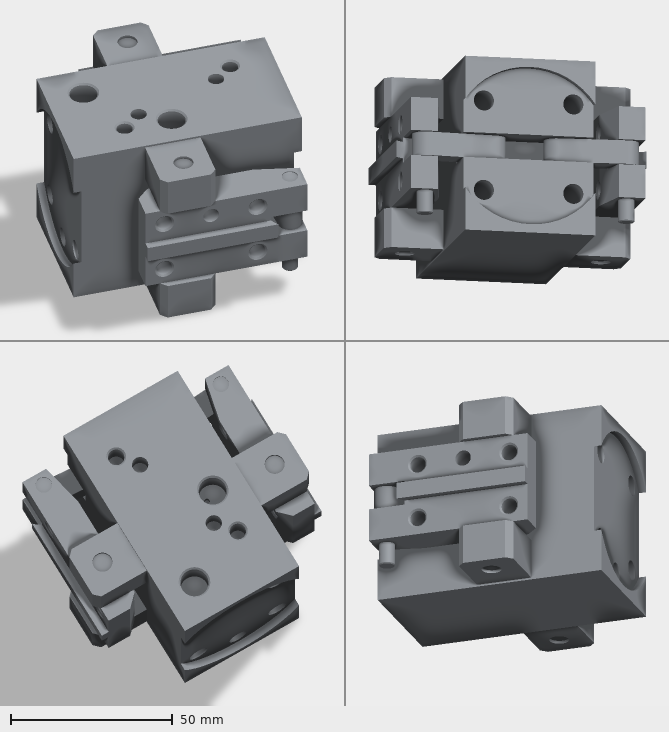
import cadquery as cq
import math


body_width = 41.1
body_length = 73.5
body_height = 55.0
cover_thickness = 5.5
top_z = body_height / 2
end_recess_radius = 24.9
end_recess_depth = 2.45

bolt_circle_radius = 20.0
bolt_hole_diameter = 6.3
locating_hole_diameter = 6.0
locating_hole_depth = 6.3

drill_point_angle = 118.0
thread_diameter = 5.05
thread_rim_diameter = 6.2
thread_depth = 7.9
thread_spots = [(-10.0, 59.25), (10.0, 19.4)]
dowel_diameter = 5.05
dowel_depth = 6.3
dowel_spots = [(-5.0, 53.25), (5.0, 25.4)]
port_diameter = 8.7
port_rim_diameter = 9.8
port_depth = 7.9
air_passage_diameter = 1.7
air_passage_depth = 1.6
ports = [((10.0, 34.6), (8.0, 34.6)), ((-9.95, 12.0), (-9.55, 8.45))]

arm_reach = 38.95
arm_width = 17.85
arm_center_y = 31.9
arm_inner_z = 14.4
arm_outer_z = 26.85
arm_chamfer = 2.0
pivot_x = 31.0
pivot_y = 32.3
pivot_diameter = 6.2
pivot_recess_depth = 0.95

jaw_outer_x = 37.05
jaw_inner_x = 25.4
jaw_front_y = 18.3
jaw_back_y = 70.5
jaw_height = 2 * arm_inner_z
jaw_front_chamfer = 3.9
jaw_back_inner_x = 28.6
jaw_taper_start_y = 56.3
key_outer_x = 39.5
key_height = 5.2
jaw_hole_z = 8.9
jaw_thread_ys = (24.5, 54.5)
jaw_dowel_y = sum(jaw_thread_ys) / 2

pin_x = 31.8
pin_y = 66.35
pin_diameter = 5.05
pin_bottom_z = -21.4
pin_recess_depth = 0.3
pin_top_z = arm_inner_z - pin_recess_depth
pin_chamfer = 0.3
link_radius = 3.95
link_height = 7.4
link_angle = 3.9
link_end_x = 10.0

link_slot_height = 7.9
slot_end_radius = 8.3
slot_end_x = 33.65
housing_slot_floor_y = 60.05


def box_between(x0, x1, y0, y1, z0, z1):
    return cq.Workplane("XY").box(x1 - x0, y1 - y0, z1 - z0, centered=False).translate((x0, y0, z0))


def cylinder_z(x, y, radius, z0, z1):
    return cq.Workplane("XY", origin=(x, y, z0)).circle(radius).extrude(z1 - z0)


def cylinder_y(x, z, radius, y0, y1):
    return cq.Workplane("XZ", origin=(x, y0, z)).circle(radius).extrude(y0 - y1)


def mirror_x(part):
    return part.mirror("YZ")


def mirror_z(part):
    return part.mirror("XY")


def revolved_hole(profile):
    """Cutter whose (radius, depth) profile is turned about Z, going down from the origin."""
    points = [(radius, -depth) for radius, depth in profile]
    return cq.Workplane("XZ").polyline(points).close().revolve(360, (0, 0), (0, 1))


def drilled_hole(diameter, depth, rim_diameter):
    """Cutter for a blind hole with a drill point and a 45 degree rim chamfer."""
    radius = diameter / 2
    rim_radius = rim_diameter / 2
    point_depth = radius / math.tan(math.radians(drill_point_angle / 2))
    profile = [(0, 0), (rim_radius, 0)]
    if rim_radius > radius:
        profile.append((radius, rim_radius - radius))
    profile += [(radius, depth), (0, depth + point_depth)]
    return revolved_hole(profile)


def flat_hole(diameter, depth, rim_diameter):
    """Cutter for a flat-bottomed hole with a 45 degree rim chamfer."""
    radius = diameter / 2
    rim_radius = rim_diameter / 2
    rim_depth = rim_radius - radius
    return revolved_hole([(0, 0), (rim_radius, 0), (radius, rim_depth), (radius, depth), (0, depth)])


def cut_bolt_holes(part):
    offset = bolt_circle_radius * math.sqrt(0.5)
    for x in (-offset, offset):
        for z in (-offset, offset):
            part = part.cut(cylinder_y(x, z, bolt_hole_diameter / 2, 0, body_length))
    return part


def cut_locating_hole(part):
    hole = drilled_hole(locating_hole_diameter, locating_hole_depth, locating_hole_diameter)
    hole = hole.rotate((0, 0, 0), (1, 0, 0), 90)
    return part.cut(hole.translate((0, end_recess_depth, -bolt_circle_radius)))


def cut_top_holes(part):
    for x, y in thread_spots:
        hole = drilled_hole(thread_diameter, thread_depth, thread_rim_diameter)
        part = part.cut(hole.translate((x, y, top_z)))
    for x, y in dowel_spots:
        hole = drilled_hole(dowel_diameter, dowel_depth, dowel_diameter)
        part = part.cut(hole.translate((x, y, top_z)))
    floor_z = top_z - port_depth
    for (x, y), (passage_x, passage_y) in ports:
        hole = flat_hole(port_diameter, port_depth, port_rim_diameter)
        part = part.cut(hole.translate((x, y, top_z)))
        passage = drilled_hole(air_passage_diameter, air_passage_depth, air_passage_diameter)
        part = part.cut(passage.translate((passage_x, passage_y, floor_z)))
    return part


def make_arm():
    """Upper arm on the +X side, with its shallow pivot recess."""
    arm = box_between(
        body_width / 2, arm_reach,
        arm_center_y - arm_width / 2, arm_center_y + arm_width / 2,
        arm_inner_z, arm_outer_z,
    )
    arm = arm.edges("|Z and >X").chamfer(arm_chamfer)
    recess_floor_z = arm_outer_z - pivot_recess_depth
    return arm.cut(cylinder_z(pivot_x, pivot_y, pivot_diameter / 2, recess_floor_z, arm_outer_z))


def make_housing():
    half_width = body_width / 2
    housing = box_between(-half_width, half_width, cover_thickness, body_length, -top_z, top_z)
    back_floor_y = body_length - end_recess_depth
    housing = housing.cut(cylinder_y(0, 0, end_recess_radius, back_floor_y, body_length))
    half_slot = link_slot_height / 2
    link_slot = box_between(
        -half_width, half_width, housing_slot_floor_y, body_length, -half_slot, half_slot
    )
    housing = cut_locating_hole(cut_bolt_holes(housing.cut(link_slot)))
    housing = cut_top_holes(housing)
    arm = make_arm()
    for side_arm in (arm, mirror_z(arm)):
        housing = housing.union(side_arm).union(mirror_x(side_arm))
    return housing


def make_cover():
    half_width = body_width / 2
    cover = box_between(-half_width, half_width, 0, cover_thickness, -top_z, top_z)
    cover = cover.cut(cylinder_y(0, 0, end_recess_radius, 0, end_recess_depth))
    return cut_locating_hole(cut_bolt_holes(cover))


def cut_jaw_holes(jaw):
    width = jaw_outer_x - jaw_inner_x
    radius = thread_diameter / 2
    rim_radius = thread_rim_diameter / 2
    rim_depth = rim_radius - radius
    thread = revolved_hole([
        (0, 0), (rim_radius, 0), (radius, rim_depth),
        (radius, width - rim_depth), (rim_radius, width), (0, width),
    ]).rotate((0, 0, 0), (0, 1, 0), 90)
    for y in jaw_thread_ys:
        for z in (-jaw_hole_z, jaw_hole_z):
            jaw = jaw.cut(thread.translate((jaw_outer_x, y, z)))
    dowel = cq.Workplane("YZ", origin=(jaw_inner_x, jaw_dowel_y, jaw_hole_z))
    return jaw.cut(dowel.circle(dowel_diameter / 2).extrude(width))


def make_jaw():
    """Jaw on the +X side: a tapered slab with a key on its outer face and a slot for the link."""
    outline = [
        (jaw_outer_x, jaw_front_y),
        (jaw_inner_x + jaw_front_chamfer, jaw_front_y),
        (jaw_inner_x, jaw_front_y + jaw_front_chamfer),
        (jaw_inner_x, jaw_taper_start_y),
        (jaw_back_inner_x, jaw_back_y),
        (jaw_outer_x, jaw_back_y),
    ]
    slab = cq.Workplane("XY", origin=(0, 0, -jaw_height / 2)).polyline(outline).close().extrude(jaw_height)
    half_key = key_height / 2
    jaw = slab.union(box_between(jaw_outer_x, key_outer_x, jaw_front_y, pin_y, -half_key, half_key))

    half_slot = link_slot_height / 2
    slot_end = cylinder_z(slot_end_x, pin_y, slot_end_radius, -half_slot, half_slot)
    open_slot = box_between(jaw_inner_x, key_outer_x, pin_y, jaw_back_y, -half_slot, half_slot)
    jaw = jaw.cut(slot_end).cut(open_slot)

    pin_hole = cylinder_z(pin_x, pin_y, pin_diameter / 2, -jaw_height / 2, jaw_height / 2)
    return cut_jaw_holes(jaw.cut(pin_hole))


def make_link():
    """Link on the +X side: a round-ended bar with its pin, running into the housing slot."""
    length = (pin_x - link_end_x) / math.cos(math.radians(link_angle))
    bar = (
        cq.Workplane("XY", origin=(-length / 2, 0, -link_height / 2))
        .slot2D(length + 2 * link_radius, 2 * link_radius)
        .extrude(link_height)
        .rotate((0, 0, 0), (0, 0, 1), link_angle)
        .translate((pin_x, pin_y, 0))
    )
    pin = cylinder_z(pin_x, pin_y, pin_diameter / 2, pin_bottom_z, pin_top_z)
    return bar.union(pin.faces("<Z").chamfer(pin_chamfer))


housing = make_housing()
cover = make_cover()
jaw = make_jaw()
link = make_link()
jaws = [jaw, mirror_x(jaw)]
links = [link, mirror_x(link)]

result = cq.Compound.makeCompound([housing.val(), cover.val()] + [body.val() for body in jaws + links])